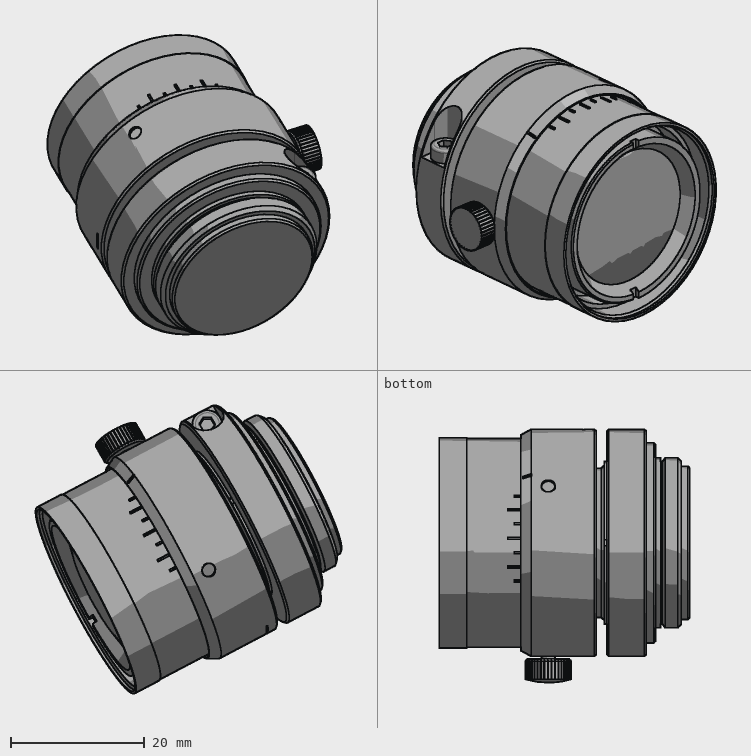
import cadquery as cq
import math


length = 37.5
barrel_radius = 17.0
knob_top = 37.95 - barrel_radius

bezel_end = 4.15
bezel_radius = 15.75
iris_end = 12.2
iris_radius = 31.3 / 2
barrel_gap_radius = 15.97
barrel_gap_depth = 0.75
barrel_front_radius = 16.15
barrel_cone_end = 13.77
barrel_end = 23.52
neck_end = 24.2
neck_radius = 11.2
neck_cone_end = 24.65
neck_cone_radius = 11.57
clamp_start = 25.08
collar_radius = 12.18
clamp_end = 31.0
shoulder_end = 32.35
shoulder_radius = 30.0 / 2
step_end = 33.12
thread_radius = 25.5 / 2
groove_end = 33.4
thread_lead_in = 0.4
thread_end = 36.25
thread_tail = 0.57
tail_radius = 23.0 / 2
edge_chamfer = 0.3

rim_radius = 15.33
rim_depth = 0.45
bore_radius = 15.0
bore_start = 0.8
bore_depth = 3.8
channel_outer_radius = 14.25
channel_depth = 7.6
retainer_radius = 13.2
retainer_depth = 0.85
retainer_inner_radius = 12.18
retainer_chamfer = 0.23
glass_radius = 10.77
glass_edge_depth = 2.6
glass_apex_depth = 1.05
spanner_slot_width = 1.15
spanner_slot_depth = 0.7

lock_x = 16.3
lock_diameter = 2.05
lock_count = 3
lock_recess = 0.4

knob_radius = 3.45
knob_teeth = 40
tooth_depth = 0.1
tooth_crest_share = 0.8
knob_base = 17.38
knob_base_radius = 3.1
knob_dome_height = 0.5

clamp_screw_x = (clamp_start + clamp_end) / 2
clamp_screw_y = 13.45
clamp_pocket_radius = 2.45
clamp_pocket_floor = 5.4
screw_head_radius = 2.25
screw_head_height = 2.25
screw_head_fillet = 0.45
socket_across_flats = 2.05
socket_depth = 1.0

mark_depth = 0.1
mark_width = 0.3
scale_first_angle = 26.5
scale_step_angle = 8
scale_mark_count = 7
short_mark = 1.02
long_mark = 1.97
index_angle = 36.8
index_setback = 0.3
rear_mark_x = 21.63
rear_mark_width = 0.25
rear_mark_length = 3.05

collar_notch_width = 0.85
collar_notch_depth = 0.23


def around_axis(shape, angle):
    """Turn a shape about the optical axis; a positive angle goes from +Z to -Y."""
    return shape.rotate((0, 0, 0), (1, 0, 0), angle)


def dome_drop(edge_radius, height):
    """How far a spherical dome falls from its apex at half of its edge radius."""
    sphere_radius = (edge_radius**2 + height**2) / (2 * height)
    return sphere_radius - math.sqrt(sphere_radius**2 - (edge_radius / 2) ** 2)


def make_body():
    """Outer steps, front opening and glass surface, all in one revolved outline."""
    middle_radius = glass_radius / 2
    middle_depth = glass_apex_depth + dome_drop(glass_radius, glass_edge_depth - glass_apex_depth)

    opening = (
        cq.Workplane("XY")
        .moveTo(glass_apex_depth, 0)
        .threePointArc((middle_depth, middle_radius), (glass_edge_depth, glass_radius))
        .lineTo(retainer_depth, retainer_inner_radius)
        .lineTo(retainer_depth, retainer_radius)
        .lineTo(channel_depth, retainer_radius)
        .lineTo(channel_depth, channel_outer_radius)
        .lineTo(bore_depth, channel_outer_radius)
        .lineTo(bore_depth, bore_radius)
        .lineTo(bore_start, bore_radius)
        .lineTo(rim_depth, rim_radius)
        .lineTo(0, rim_radius)
    )
    barrel = (
        opening.lineTo(0, bezel_radius)
        .lineTo(bezel_end, bezel_radius)
        .lineTo(bezel_end, iris_radius)
        .lineTo(iris_end + barrel_gap_depth, iris_radius)
        .lineTo(iris_end + barrel_gap_depth, barrel_gap_radius)
        .lineTo(iris_end, barrel_gap_radius)
        .lineTo(iris_end, barrel_front_radius)
        .lineTo(barrel_cone_end, barrel_radius)
        .lineTo(barrel_end - edge_chamfer, barrel_radius)
        .lineTo(barrel_end, barrel_radius - edge_chamfer)
        .lineTo(barrel_end, neck_radius)
    )
    clamp_ring = (
        barrel.lineTo(neck_end, neck_radius)
        .lineTo(neck_cone_end, neck_cone_radius)
        .lineTo(neck_cone_end, collar_radius)
        .lineTo(clamp_start, collar_radius)
        .lineTo(clamp_start, barrel_radius - edge_chamfer)
        .lineTo(clamp_start + edge_chamfer, barrel_radius)
        .lineTo(clamp_end - edge_chamfer, barrel_radius)
        .lineTo(clamp_end, barrel_radius - edge_chamfer)
        .lineTo(clamp_end, shoulder_radius)
    )
    mount = (
        clamp_ring.lineTo(shoulder_end - edge_chamfer, shoulder_radius)
        .lineTo(shoulder_end, shoulder_radius - edge_chamfer)
        .lineTo(shoulder_end, thread_radius)
        .lineTo(step_end, thread_radius)
        .lineTo(step_end, collar_radius)
        .lineTo(groove_end, collar_radius)
        .lineTo(groove_end + thread_lead_in, thread_radius)
        .lineTo(thread_end - thread_tail, thread_radius)
        .lineTo(thread_end, thread_radius - thread_tail)
        .lineTo(thread_end, tail_radius)
        .lineTo(length - edge_chamfer, tail_radius)
        .lineTo(length, tail_radius - edge_chamfer)
        .lineTo(length, 0)
    )
    return mount.close().revolve(360, (0, 0, 0), (1, 0, 0))


def make_spanner_slots():
    """Two opposite slots across the face of the retaining ring, above and below the glass."""
    across = (
        cq.Workplane("XY")
        .box(spanner_slot_depth, spanner_slot_width, 2 * retainer_radius, centered=(False, True, True))
        .translate((retainer_depth, 0, 0))
    )
    glass_clearance = cq.Workplane("YZ").circle(glass_radius).extrude(length)
    return across.cut(glass_clearance)


def make_retainer_chamfer():
    """Chamfer on the +Y half of the retaining ring's outer edge."""
    return (
        cq.Workplane("XZ")
        .moveTo(retainer_depth, -retainer_radius)
        .lineTo(retainer_depth, -retainer_radius + retainer_chamfer)
        .lineTo(retainer_depth + retainer_chamfer, -retainer_radius)
        .close()
        .revolve(180, (0, 0, 0), (1, 0, 0))
    )


def make_lock_recesses():
    """Shallow round recesses at the locking-screw places that carry no knob."""
    recess = (
        cq.Workplane("XY", origin=(lock_x, 0, barrel_radius - lock_recess))
        .circle(lock_diameter / 2)
        .extrude(2 * lock_recess)
    )
    spacing = 360 / lock_count
    knob_angle = -90
    recesses = cq.Workplane("XY")
    for place in range(1, lock_count):
        recesses = recesses.add(around_axis(recess, knob_angle + place * spacing))
    return recesses.combine()


def make_knob():
    """Knurled, domed knob on a plain stem that enters the barrel from +Y."""
    dome_edge = knob_top - knob_dome_height
    end_chamfer = knob_radius - knob_base_radius
    envelope = (
        cq.Workplane("XY")
        .moveTo(0, knob_base)
        .lineTo(knob_base_radius, knob_base)
        .lineTo(knob_radius, knob_base + end_chamfer)
        .lineTo(knob_radius, dome_edge)
        .lineTo(0, dome_edge)
        .close()
        .revolve(360, (0, 0, 0), (0, 1, 0))
    )
    root_radius = knob_radius - tooth_depth
    tooth_angle = 2 * math.pi / knob_teeth
    outline = []
    for tooth in range(knob_teeth):
        corners = (
            (0, knob_radius),
            (tooth_crest_share, knob_radius),
            ((1 + tooth_crest_share) / 2, root_radius),
        )
        for share, radius in corners:
            angle = tooth_angle * (tooth + share)
            outline.append((radius * math.cos(angle), radius * math.sin(angle)))
    knurl = cq.Workplane("XZ").polyline(outline).close().extrude(-knob_top)

    dome = (
        cq.Workplane("XY")
        .moveTo(0, dome_edge)
        .lineTo(root_radius, dome_edge)
        .threePointArc((root_radius / 2, knob_top - dome_drop(root_radius, knob_dome_height)), (0, knob_top))
        .close()
        .revolve(360, (0, 0, 0), (0, 1, 0))
    )
    stem_root = barrel_radius - lock_diameter
    stem = (
        cq.Workplane("XZ", origin=(0, stem_root, 0))
        .circle(lock_diameter / 2)
        .extrude(stem_root - dome_edge)
    )
    return envelope.intersect(knurl).union(dome).union(stem).translate((lock_x, 0, 0))


def make_mark(start, mark_length, radius):
    """Cutter for an engraved line along X at the top of a cylinder."""
    return (
        cq.Workplane("XY")
        .box(mark_length, mark_width, 2 * mark_depth, centered=(False, True, True))
        .translate((start, 0, radius))
    )


def make_aperture_scale():
    """Alternating short and long marks that run back to the barrel, with an index on its cone."""
    marks = cq.Workplane("XY")
    for place in range(scale_mark_count):
        mark_length = long_mark if place % 2 else short_mark
        mark = make_mark(iris_end - mark_length, mark_length, iris_radius)
        marks = marks.add(around_axis(mark, place * scale_step_angle - scale_first_angle))

    cone_length = barrel_cone_end - iris_end
    cone_rise = barrel_radius - barrel_front_radius
    cone_slope = math.degrees(math.atan2(cone_rise, cone_length))
    cone_side = math.hypot(cone_length, cone_rise)
    index = make_mark(index_setback, cone_side - index_setback, 0)
    index = index.rotate((0, 0, 0), (0, 1, 0), -cone_slope)
    index = index.translate((iris_end, 0, barrel_front_radius))
    marks = marks.add(around_axis(index, -index_angle))
    return marks.combine()


def make_rear_mark():
    """Engraved line across the -Y side of the barrel, near its rear edge."""
    return (
        cq.Workplane("XY")
        .box(rear_mark_width, 2 * mark_depth, rear_mark_length)
        .translate((rear_mark_x, -barrel_radius, 0))
    )


def make_collar_notches():
    """Four evenly spaced notches in the collar."""
    collar_length = clamp_start - neck_cone_end
    notch = (
        cq.Workplane("XY")
        .box(collar_length, collar_notch_width, 2 * collar_notch_depth, centered=(False, True, True))
        .translate((neck_cone_end, 0, collar_radius))
    )
    notches = cq.Workplane("XY")
    for quarter in range(4):
        notches = notches.add(around_axis(notch, 90 * quarter))
    return notches.combine()


def make_clamp_pocket():
    """Round-ended pocket with a flat floor that opens out through the side of the clamp ring."""
    floor = cq.Workplane("XY", origin=(clamp_screw_x, clamp_screw_y, clamp_pocket_floor))
    round_end = floor.circle(clamp_pocket_radius).extrude(barrel_radius)
    run_out = floor.center(-clamp_pocket_radius, 0)
    run_out = run_out.rect(2 * clamp_pocket_radius, barrel_radius, centered=False).extrude(barrel_radius)
    return round_end.union(run_out)


def make_clamp_screw():
    """Cap screw with a rounded head and a hexagonal socket, seated on the pocket floor."""
    socket_across_corners = socket_across_flats / math.cos(math.pi / 6)
    head = (
        cq.Workplane("XY")
        .circle(screw_head_radius)
        .extrude(screw_head_height)
        .faces(">Z")
        .edges()
        .fillet(screw_head_fillet)
    )
    socket = (
        cq.Workplane("XY", origin=(0, 0, screw_head_height - socket_depth))
        .polygon(6, socket_across_corners)
        .extrude(socket_depth)
        .rotate((0, 0, 0), (0, 0, 1), 90)
    )
    return head.cut(socket).translate((clamp_screw_x, clamp_screw_y, clamp_pocket_floor))


aperture_scale = make_aperture_scale()

result = make_body()
result = result.cut(make_spanner_slots())
result = result.cut(make_retainer_chamfer())
result = result.cut(make_lock_recesses())
result = result.cut(aperture_scale)
result = result.cut(around_axis(aperture_scale, 180))
result = result.cut(make_rear_mark())
result = result.cut(make_collar_notches())
result = result.cut(make_clamp_pocket())
result = result.union(make_clamp_screw())
result = result.union(make_knob())